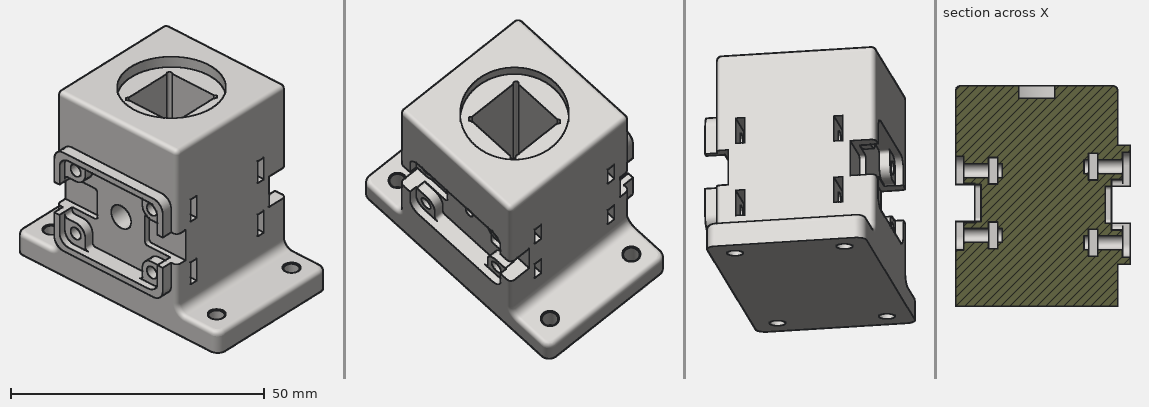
import cadquery as cq

base_length = 54.0
base_height = 5.0
block_side = 32.0
block_height = 43.5
edge_radius = 1.0
base_corner_radius = 2.0
neck_radius = 2.0

base_hole_diameter = 3.2
base_hole_spacing_x = 44.0
base_hole_spacing_y = 22.0
base_hole_chamfer = 0.2

well_side = 12.6
well_floor = base_height
relief_radius = 0.55
relief_inset = 0.25
counterbore_diameter = 21.5
counterbore_depth = 2.5

axis_height = 20.05
front_hole_diameter = 5.3
rear_hole_diameter = 2.0

rear_pocket_centre = 20.35
rim_width = 28.9
rim_height = 23.5
rim_thickness = 2.5
rim_radius = 2.5
wall = 1.4
pocket_width = rim_width - 2 * wall
pocket_radius = 2.5
boss_reach = 2.55
boss_radius = 2.5
boss_height = 2.15
small_radius = 0.75
front_floor_depth = 1.25
rear_floor_depth = 3.8

screw_diameter = 2.7
screw_depth = 5.4
screw_spacing_x = 20.3
front_screw_spacing_z = 15.0
rear_screw_spacing_z = 12.75
nut_slot_offset = 2.75
nut_slot_thickness = 1.8
nut_reach = 2.7
front_nut_slot_height = 5.25
rear_nut_slot_height = 5.2

notch_height = 7.25
notch_inner_x = 6.3
notch_step = 1.25

selection_slack = 1.001

half_block = block_side / 2
half_base = base_length / 2
screw_x = screw_spacing_x / 2
screw_margin_z = (rim_height - front_screw_spacing_z) / 2 - wall


def make_body():
    """Block and base as one profile with concave necks, all upper edges rounded."""
    shoulder = half_block + neck_radius
    profile = (
        cq.Workplane("XZ", origin=(0, half_block, 0))
        .moveTo(-half_base, 0)
        .lineTo(half_base, 0)
        .lineTo(half_base, base_height)
        .lineTo(shoulder, base_height)
        .radiusArc((half_block, base_height + neck_radius), neck_radius)
        .lineTo(half_block, block_height)
        .lineTo(-half_block, block_height)
        .lineTo(-half_block, base_height + neck_radius)
        .radiusArc((-shoulder, base_height), neck_radius)
        .lineTo(-half_base, base_height)
        .close()
        .extrude(block_side)
    )
    body = profile.edges("|Z and (>X or <X)").fillet(base_corner_radius)
    above_base_sides = cq.selectors.BoxSelector(
        (-base_length, -base_length, base_height - edge_radius),
        (base_length, base_length, block_height + edge_radius),
    )
    return body.faces("<Y or >Y or >Z").edges(above_base_sides).fillet(edge_radius)


def make_base_holes():
    """Four through holes in the base, chamfered at the upper mouth."""
    radius = base_hole_diameter / 2
    mouth_radius = radius + base_hole_chamfer
    profile = (
        cq.Workplane("XZ")
        .polyline(
            [
                (0, 0),
                (radius, 0),
                (radius, base_height - base_hole_chamfer),
                (mouth_radius, base_height),
                (0, base_height),
            ]
        )
        .close()
    )
    hole = profile.revolve(360, (0, 0, 0), (0, 1, 0)).val()
    return (
        cq.Workplane("XY")
        .rect(base_hole_spacing_x, base_hole_spacing_y, forConstruction=True)
        .vertices()
        .eachpoint(lambda place: hole.moved(place), combine=False)
    )


def make_well():
    """Square blind well with corner reliefs, under a round counterbore."""
    relief_spacing = well_side - 2 * relief_inset
    well_depth = block_height - well_floor
    floor = cq.Workplane("XY", origin=(0, 0, well_floor))
    well = floor.rect(well_side, well_side).extrude(well_depth)
    reliefs = (
        floor.rect(relief_spacing, relief_spacing, forConstruction=True)
        .vertices()
        .circle(relief_radius)
        .extrude(well_depth)
    )
    counterbore = (
        cq.Workplane("XY", origin=(0, 0, block_height))
        .circle(counterbore_diameter / 2)
        .extrude(-counterbore_depth)
    )
    return well.union(reliefs).union(counterbore)


def make_light_path():
    """Wide hole through the front wall and a narrow one through the rear wall."""
    centre = cq.Workplane("XZ", origin=(0, 0, axis_height))
    front = centre.circle(front_hole_diameter / 2).extrude(half_block)
    rear = centre.circle(rear_hole_diameter / 2).extrude(-half_block)
    return front.union(rear)


def make_rim():
    """Raised pad on the front face that becomes the pocket rim."""
    return (
        cq.Workplane("XZ", origin=(0, -half_block, axis_height))
        .rect(rim_width, rim_height)
        .extrude(rim_thickness)
        .edges("|Y")
        .fillet(rim_radius)
    )


def make_pocket(floor, pocket_height, open_depth):
    """Pocket whose lower layer is a cross, leaving a boss in each corner."""
    cross_half_width = screw_x - boss_reach
    cross_half_height = pocket_height / 2 - screw_margin_z - boss_reach
    lengthwise = floor.rect(pocket_width, 2 * cross_half_height).extrude(boss_height)
    upright = floor.rect(2 * cross_half_width, pocket_height).extrude(boss_height)
    lengthwise = lengthwise.edges("|Y").fillet(small_radius)
    upright = upright.edges("|Y").fillet(small_radius)
    cross = lengthwise.union(upright)
    centre = floor.plane.origin
    reach = cq.Vector(cross_half_width, open_depth, cross_half_height) * selection_slack
    boss_corners = cq.selectors.BoxSelector((centre - reach).toTuple(), (centre + reach).toTuple())
    cross = cross.edges("|Y").edges(boss_corners).fillet(boss_radius)

    upper = (
        floor.workplane(offset=boss_height)
        .rect(pocket_width, pocket_height)
        .extrude(open_depth - boss_height)
        .edges("|Y")
        .fillet(pocket_radius)
    )
    return cross.union(upper)


def make_notch(floor, side, open_depth):
    """Notch from the pocket out through one side wall, sunk below the pocket floor."""
    length = half_base - notch_inner_x
    inner_end = "<X" if side > 0 else ">X"
    return (
        floor.workplane(offset=-notch_step)
        .center(side * (notch_inner_x + length / 2), 0)
        .rect(length, notch_height)
        .extrude(open_depth + notch_step)
        .edges("|Y")
        .edges(inner_end)
        .fillet(small_radius)
    )


def make_mounting_cut(centre_height, floor_depth, screw_spacing_z, nut_slot_height):
    """Pocket, notches, screw holes and nut slots of one mounting face, turned to -Y."""
    pocket_height = screw_spacing_z + 2 * screw_margin_z
    open_depth = floor_depth + rim_thickness
    floor = cq.Workplane("XZ", origin=(0, floor_depth - half_block, centre_height))
    cut = make_pocket(floor, pocket_height, open_depth)

    slot_end = screw_x - nut_reach
    slot_length = half_block - slot_end
    slot_start = floor.workplane(offset=-nut_slot_offset)
    for side in (-1, 1):
        cut = cut.union(make_notch(floor, side, open_depth))
        for level in (-1, 1):
            screw_z = level * screw_spacing_z / 2
            screw = (
                floor.workplane(offset=-screw_depth)
                .center(side * screw_x, screw_z)
                .circle(screw_diameter / 2)
                .extrude(screw_depth + boss_height)
            )
            nut_slot = (
                slot_start.center(side * (slot_end + slot_length / 2), screw_z)
                .rect(slot_length, nut_slot_height)
                .extrude(-nut_slot_thickness)
            )
            cut = cut.union(screw).union(nut_slot)
    return cut


front_cut = make_mounting_cut(
    axis_height, front_floor_depth, front_screw_spacing_z, front_nut_slot_height
)
rear_cut = make_mounting_cut(
    rear_pocket_centre, rear_floor_depth, rear_screw_spacing_z, rear_nut_slot_height
).rotate((0, 0, 0), (0, 0, 1), 180)

result = (
    make_body()
    .union(make_rim())
    .cut(front_cut)
    .cut(rear_cut)
    .cut(make_base_holes())
    .cut(make_well())
    .cut(make_light_path())
)